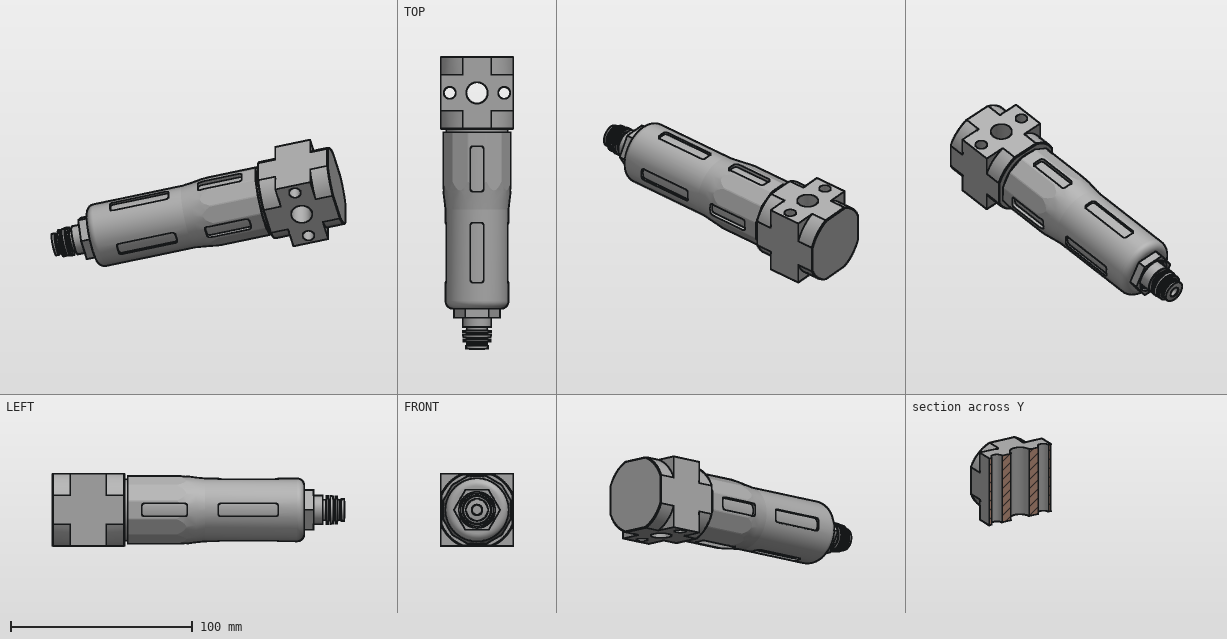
import cadquery as cq
import math


head_size = 40.0
head_half = head_size / 2
head_round_diameter = 43.0
head_chamfer = 0.5
bracket_width = 19.8
port_diameter = 11.6
mount_hole_diameter = 6.5
mount_hole_spacing = 30.0

neck_length = 1.6
collar_length = 27.4
taper_length = 15.3
barrel_length = 54.6
hex_length = 5.0
overall_length = 161.0

neck_diameter = 34.0
collar_flats = 37.4
collar_sides = 12
collar_diameter = 38.5
barrel_diameter = 34.8
barrel_end_radius = 4.2
hex_sides = 6
hex_flats = 22.0

head_front_y = -head_half
collar_back_y = head_front_y - neck_length
taper_back_y = collar_back_y - collar_length
barrel_back_y = taper_back_y - taper_length
barrel_front_y = barrel_back_y - barrel_length
hex_front_y = barrel_front_y - hex_length
tip_y = head_half - overall_length

window_width = 7.2
window_corner_radius = 1.6
window_count = 4
collar_window_floor_diameter = 33.5
collar_window_length = 25.1
collar_window_back_y = collar_back_y - 7.7
barrel_window_floor_diameter = 32.0
barrel_window_length = 33.2
barrel_window_back_y = barrel_back_y - 7.1

recess_diameter = 18.0
recess_mouth_diameter = 20.0
recess_chamfer_depth = 1.0
recess_depth = 3.2

shank_diameter = 16.0
shank_length = 5.2
shank_chamfer = 0.2
root_diameter = 11.5
ring_diameter = 15.8
small_ring_diameter = 15.0
ring_foot_diameter = 12.2
ring_flare = 0.3
thin_ring_length = 1.1
wide_ring_length = 1.6
ring_1_y = hex_front_y - 7.1
ring_2_y = ring_1_y - 2.1
ring_3_y = ring_2_y - 2.7
tip_neck_diameter = 10.3
tip_neck_length = 0.6
tip_neck_taper = 0.3
tip_flange_diameter = 12.2
tip_flange_length = 2.0
tip_face_diameter = 11.6
tip_face_height = 0.3
drain_hole_diameter = 5.5
drain_hole_mouth_diameter = 6.0
drain_hole_depth = 4.8


def y_cylinder(diameter, start_y, end_y):
    """Cylinder on the long axis from start_y towards -Y to end_y."""
    return cq.Workplane("XZ", origin=(0, start_y, 0)).circle(diameter / 2).extrude(start_y - end_y)


def y_prism(sides, across_flats, turn, start_y, end_y):
    """Regular prism on the long axis, turned about it by an angle in degrees."""
    across_corners = across_flats / math.cos(math.pi / sides)
    prism = cq.Workplane("XZ", origin=(0, start_y, 0)).polygon(sides, across_corners)
    return prism.extrude(start_y - end_y).rotate((0, 0, 0), (0, 1, 0), turn)


def y_revolve(profile):
    """Solid of revolution about the long axis from (diameter, y) points, closed along the axis."""
    points = [(0, profile[0][1])]
    points += [(diameter / 2, y) for diameter, y in profile]
    points.append((0, profile[-1][1]))
    return cq.Workplane("XY").polyline(points).close().revolve(360, (0, 0, 0), (0, 1, 0))


def make_head():
    """Block with rounded ends, a full-width bracket across its middle, a port and two mounting holes."""
    block = cq.Workplane("XY").box(head_size, head_size, head_size)
    rounded = block.intersect(y_cylinder(head_round_diameter, head_half, head_front_y))
    rounded = rounded.faces("<Y or >Y").chamfer(head_chamfer)
    bracket = cq.Workplane("XY").box(head_size, bracket_width, head_size)
    head = rounded.union(bracket)
    port = cq.Workplane("XY").circle(port_diameter / 2).extrude(head_half, both=True)
    mount_holes = (
        cq.Workplane("XY")
        .rarray(mount_hole_spacing, 1.6, 2, 1)
        .circle(mount_hole_diameter / 2)
        .extrude(head_half, both=True)
    )
    return head.cut(port).cut(mount_holes)


def make_collar():
    """Twelve-sided grip with rounded corners that tapers down to the barrel."""
    envelope = y_revolve([
        (collar_diameter, collar_back_y),
        (collar_diameter, taper_back_y),
        (barrel_diameter, barrel_back_y),
    ])
    half_side_angle = 180 / collar_sides
    grip = y_prism(collar_sides, collar_flats, half_side_angle, collar_back_y, barrel_back_y)
    return envelope.intersect(grip)


def make_windows(back_y, length, floor_diameter):
    """Round-cornered pockets, spaced evenly round the axis, down to a cylindrical floor."""
    blank = (
        cq.Workplane("XY")
        .box(window_width, length, head_half, centered=(True, True, False))
        .edges("|Z")
        .fillet(window_corner_radius)
        .translate((0, back_y - length / 2, 0))
    )
    pocket = blank.cut(y_cylinder(floor_diameter, back_y, back_y - length))
    windows = cq.Workplane("XY")
    for index in range(window_count):
        windows = windows.add(pocket.rotate((0, 0, 0), (0, 1, 0), index * 360 / window_count))
    return windows.combine()


def ring_profile(diameter, front_diameter, back_y, length):
    """Profile points of a ring on the drain, from its back root to its front root."""
    front_y = back_y - length
    return [
        (root_diameter, back_y + ring_flare),
        (ring_foot_diameter, back_y),
        (diameter, back_y),
        (front_diameter, front_y),
        (ring_foot_diameter, front_y),
        (root_diameter, front_y - ring_flare),
    ]


def make_drain():
    """Shank with three rings and a flanged, hollow tip."""
    shank_end_y = hex_front_y - shank_length
    flange_back_y = tip_y + tip_flange_length
    drain = y_revolve([
        (shank_diameter, hex_front_y + recess_depth),
        (shank_diameter, shank_end_y + shank_chamfer),
        (shank_diameter - 2 * shank_chamfer, shank_end_y),
        (root_diameter, shank_end_y),
        *ring_profile(ring_diameter, ring_diameter, ring_1_y, thin_ring_length),
        *ring_profile(ring_diameter, small_ring_diameter, ring_2_y, wide_ring_length),
        *ring_profile(small_ring_diameter, small_ring_diameter, ring_3_y, thin_ring_length),
        (root_diameter, flange_back_y + tip_neck_length + tip_neck_taper),
        (tip_neck_diameter, flange_back_y + tip_neck_length),
        (tip_neck_diameter, flange_back_y),
        (tip_flange_diameter, flange_back_y),
        (tip_flange_diameter, tip_y + tip_face_height),
        (tip_face_diameter, tip_y + tip_face_height),
        (drain_hole_mouth_diameter, tip_y),
    ])
    hole_chamfer = (drain_hole_mouth_diameter - drain_hole_diameter) / 2
    hole = y_revolve([
        (drain_hole_diameter, tip_y + drain_hole_depth),
        (drain_hole_diameter, tip_y + hole_chamfer),
        (drain_hole_mouth_diameter, tip_y),
    ])
    return drain.cut(hole)


def make_recess():
    """Round recess with a conical mouth in the front of the hexagon."""
    return y_revolve([
        (recess_diameter, hex_front_y + recess_depth),
        (recess_diameter, hex_front_y + recess_chamfer_depth),
        (recess_mouth_diameter, hex_front_y),
    ])


def make_bowl():
    """Neck, grip collar, barrel, hexagon and drain in one piece."""
    neck = y_cylinder(neck_diameter, head_front_y, collar_back_y)
    barrel = y_cylinder(barrel_diameter, barrel_back_y, barrel_front_y)
    barrel = barrel.faces("<Y").edges().fillet(barrel_end_radius)
    hexagon = y_prism(hex_sides, hex_flats, 0, barrel_front_y, hex_front_y)
    bowl = neck.union(make_collar()).union(barrel).union(hexagon)
    collar_windows = make_windows(collar_window_back_y, collar_window_length, collar_window_floor_diameter)
    barrel_windows = make_windows(barrel_window_back_y, barrel_window_length, barrel_window_floor_diameter)
    bowl = bowl.cut(collar_windows).cut(barrel_windows)
    return bowl.cut(make_recess()).union(make_drain())


head = make_head()
bowl = make_bowl()
result = cq.Compound.makeCompound([head.val(), bowl.val()])